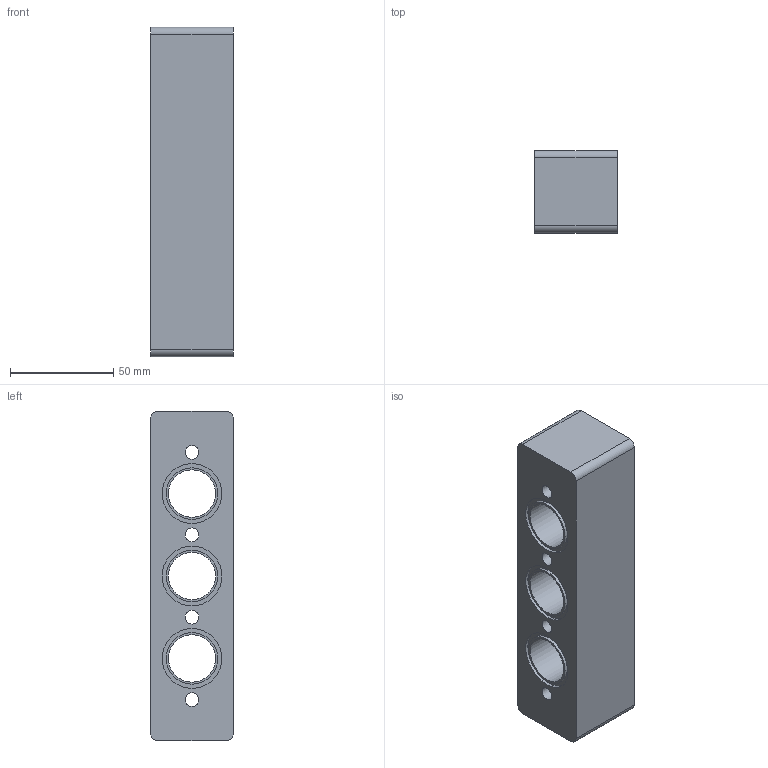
import cadquery as cq

WIDTH = 40.0
DEPTH = 40.0
HEIGHT = 160.0
EDGE_RADIUS = 3.5

PITCH = 40.0
BORE_COUNT = 3
BORE_DIAMETER = 23.0
GROOVE_INNER_DIAMETER = 25.0
GROOVE_OUTER_DIAMETER = 29.0
GROOVE_DEPTH = 1.5

BOLT_HOLE_COUNT = BORE_COUNT + 1
BOLT_HOLE_DIAMETER = 6.6


def row_points(count):
    """Points (Y, Z) of a vertical row, evenly spaced and centred on Z = 0."""
    middle = (count - 1) / 2
    return [(0, (index - middle) * PITCH) for index in range(count)]


def port_face():
    """Sketch plane on the -X face with local axes (Y, Z), normal along +X."""
    return cq.Workplane("YZ", origin=(-WIDTH / 2, 0, 0))


def block():
    """Rectangular block with its four edges along X rounded."""
    return cq.Workplane("XY").box(WIDTH, DEPTH, HEIGHT).edges("|X").fillet(EDGE_RADIUS)


def through_holes(count, diameter):
    """Row of cylinders that span the full width of the block."""
    return port_face().pushPoints(row_points(count)).circle(diameter / 2).extrude(WIDTH)


def face_grooves():
    """Shallow rings cut into the -X face around the bores."""
    centres = row_points(BORE_COUNT)
    discs = port_face().pushPoints(centres).circle(GROOVE_OUTER_DIAMETER / 2).extrude(GROOVE_DEPTH)
    cores = port_face().pushPoints(centres).circle(GROOVE_INNER_DIAMETER / 2).extrude(GROOVE_DEPTH)
    return discs.cut(cores)


result = (
    block()
    .cut(through_holes(BORE_COUNT, BORE_DIAMETER))
    .cut(through_holes(BOLT_HOLE_COUNT, BOLT_HOLE_DIAMETER))
    .cut(face_grooves())
)